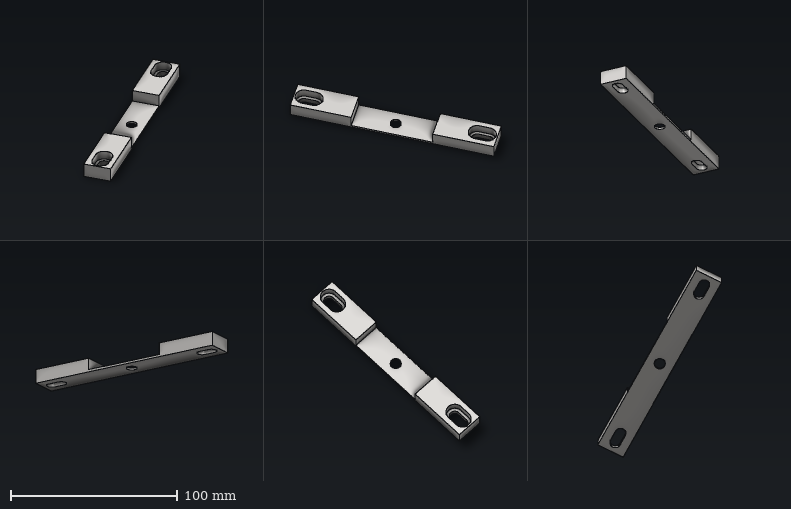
import cadquery as cq

length = 127.0
width = 17.3
height = 8.9

block_length = 38.1
web_thickness = 1.5
web_length = length - 2 * block_length

hole_diameter = 6.5
slot_length = 13.1
recess_width = 10.4
recess_length = slot_length + recess_width - hole_diameter
recess_depth = 5.5
slot_end_distance = 9.5
slot_offset = length / 2 - slot_end_distance


def slot_cutter(slot_y, long_side, short_side, floor_z):
    """Rounded slot along Y, cut from floor_z up to the top face."""
    return (
        cq.Workplane("XY", origin=(0, slot_y, floor_z))
        .slot2D(long_side, short_side, 90)
        .extrude(height - floor_z)
    )


result = cq.Workplane("XY").box(width, length, height, centered=(True, True, False))

relief = (
    cq.Workplane("XY", origin=(0, 0, web_thickness))
    .box(width, web_length, height - web_thickness, centered=(True, True, False))
)
result = result.cut(relief)

center_hole = cq.Workplane("XY").circle(hole_diameter / 2).extrude(height)
result = result.cut(center_hole)

for slot_y in (-slot_offset, slot_offset):
    result = result.cut(slot_cutter(slot_y, slot_length, hole_diameter, 0))
    result = result.cut(slot_cutter(slot_y, recess_length, recess_width, height - recess_depth))